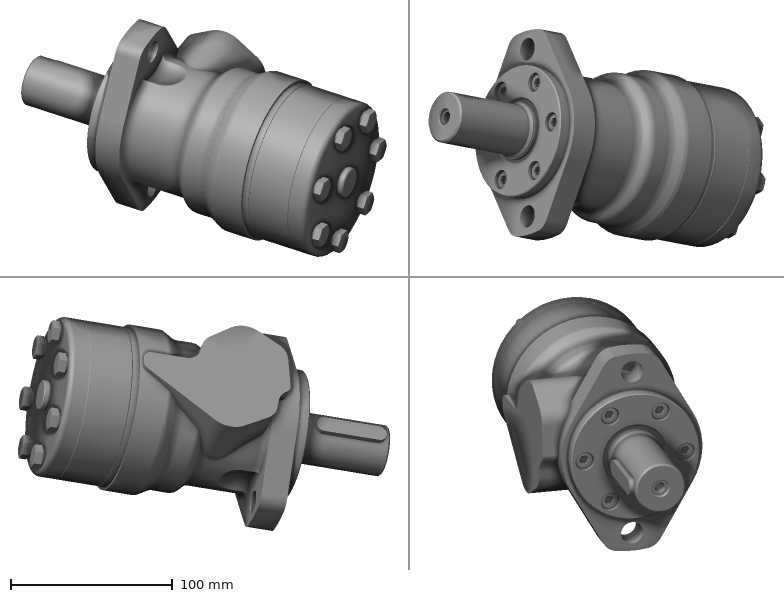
import cadquery as cq
import math


COLLAR_X = 55.8
PILOT_X = 59.4
FLANGE_X = 67.5
FLANGE_BACK_X = 84.1
HOUSING_END_X = 172.8
RING_X = 176.8
COVER_X = 204.5
COVER_END_X = 217.2
MOTOR_END_X = 223.2

SHAFT_D = 32.0
SHAFT_CHAMFER = 1.1
COLLAR_D = 35.7
COLLAR_LIP_D = 35.0
COLLAR_LIP_LENGTH = 2.5
COLLAR_CHAMFER = 1.5
CENTRE_BORE_D = 10.0
CENTRE_BORE_DEPTH = 2.2
CENTRE_BORE_CHAMFER = 0.7
CENTRE_HOLE_D = 7.0
CENTRE_HOLE_DEPTH = 13.5
DRILL_POINT_ANGLE = 118.0
KEY_X = 3.3
KEY_LENGTH = 45.0
KEY_WIDTH = 10.0
KEY_TOP_Y = 19.0
KEY_HEIGHT = 8.0

PILOT_D = 82.5
PILOT_CHAMFER = 0.7
SEAL_RECESS_D = 39.5
SEAL_RECESS_DEPTH = 1.5
SEAL_RECESS_CHAMFER = 1.3
SCREW_COUNT = 6
SCREW_CIRCLE_R = 32.4
SCREW_POCKET_D = 12.0
SCREW_POCKET_DEPTH = 3.3
SCREW_HEAD_D = 10.0
SCREW_HEAD_HEIGHT = 1.1
SOCKET_FLATS = 5.5
SOCKET_DEPTH = 3.3

FLANGE_R = 45.0
FLANGE_TIP_R = 65.0
FLANGE_CORNER_R = 11.2
FLANGE_SIDE_ANGLE = 30.0
MOUNT_HOLE_D = 14.0
MOUNT_HOLE_Z = 53.1
CLEARANCE_R = 18.3
CLEARANCE_LENGTH = 9.4

NECK_R = 40.6
NECK_FILLET = 4.0
BULGE_R = 47.0
HOUSING_R = 52.0
BULGE_RAMP_X = 122.8
BULGE_RAMP_ANGLE = 45.0
BULGE_RAMP_FOOT_R = 7.1
BULGE_RAMP_TOP_R = 5.5
HOUSING_RAMP_X = 144.2
HOUSING_RAMP_ANGLE = 30.0
HOUSING_RAMP_FOOT_R = 8.0
HOUSING_RAMP_TOP_R = 5.4

PORT_FACE_Y = 55.0
PORT_OUTLINE = [
    (78.3, 25.5, 12.0),
    (106.2, 41.5, 17.5),
    (132.4, 23.7, 13.5),
    (136.4, 7.8, 9.5),
    (171.2, 7.8, 5.4),
    (171.2, -2.7, 5.4),
    (115.8, -40.8, 17.9),
    (86.0, -23.7, 11.5),
    (83.0, -7.5, 10.7),
    (76.0, -3.3, 4.7),
]

STACK_D = 100.0
RING_CHAMFER = 0.5
COVER_FILLET = 3.3

BOLT_COUNT = 7
BOLT_CIRCLE_R = 40.0
FIRST_BOLT_ANGLE = 99.7
BOLT_FLATS = 13.0
BOLT_TURN = 49.0
BOLT_HEAD_CHAMFER = 0.5
BOLT_COLLAR_D = 11.8
BOLT_COLLAR_HEIGHT = 1.0
PLUG_NECK_D = 18.0
PLUG_D = 19.0
PLUG_NECK_HEIGHT = 1.1
PLUG_HEIGHT = 4.5
PLUG_CHAMFER = 0.7


def cylinder(x_start, x_end, diameter, y=0.0, z=0.0):
    """Cylinder parallel to X."""
    plane = cq.Workplane("YZ", origin=(x_start, y, z))
    return plane.circle(diameter / 2).extrude(x_end - x_start)


def cone(x_start, length, start_diameter, end_diameter):
    """Cone on the axis, with its diameter at each end."""
    axis_point = cq.Vector(x_start, 0, 0)
    solid = cq.Solid.makeCone(start_diameter / 2, end_diameter / 2, length, axis_point, cq.Vector(1, 0, 0))
    return cq.Workplane(solid)


def hexagon(x_start, x_end, flats, y, z, turn=0.0):
    """Hexagonal prism parallel to X, with a corner at the angle `turn` from Y."""
    corners = flats / math.cos(math.radians(30))
    plane = cq.Workplane("YZ", origin=(x_start, y, z)).transformed(rotate=(0, 0, turn))
    return plane.polygon(6, corners).extrude(x_end - x_start)


def circle_points(count, radius, first_angle=0.0):
    """Evenly spaced (y, z) points on a circle around the axis."""
    angles = [math.radians(first_angle + 360 * i / count) for i in range(count)]
    return [(radius * math.cos(a), radius * math.sin(a)) for a in angles]


def rounded_outline(plane, corners):
    """Closed outline through the corners (u, v, radius), each rounded by its radius; 0 keeps it sharp."""
    outline = None
    for i, (u, v, radius) in enumerate(corners):
        corner = cq.Vector(u, v)
        before = (cq.Vector(*corners[i - 1][:2]) - corner).normalized()
        after = (cq.Vector(*corners[(i + 1) % len(corners)][:2]) - corner).normalized()
        half_angle = before.getAngle(after) / 2
        setback = radius / math.tan(half_angle)
        start = corner + before * setback
        outline = plane.moveTo(start.x, start.y) if outline is None else outline.lineTo(start.x, start.y)
        if radius > 0:
            to_middle = radius / math.sin(half_angle) - radius
            middle = corner + (before + after).normalized() * to_middle
            end = corner + after * setback
            outline = outline.threePointArc((middle.x, middle.y), (end.x, end.y))
    return outline.close()



def make_key():
    key_plane = cq.Workplane("XZ", origin=(KEY_X + KEY_LENGTH / 2, KEY_TOP_Y, 0))
    return key_plane.slot2D(KEY_LENGTH, KEY_WIDTH).extrude(KEY_HEIGHT)


def make_shaft(key):
    journal = cylinder(0, COLLAR_X, SHAFT_D).faces("<X").chamfer(SHAFT_CHAMFER)
    lip_end_x = COLLAR_X + COLLAR_LIP_LENGTH
    lip = cylinder(COLLAR_X, lip_end_x, COLLAR_LIP_D).faces("<X").chamfer(COLLAR_CHAMFER)
    collar = cylinder(lip_end_x, FLANGE_X, COLLAR_D)
    bore = cylinder(0, CENTRE_BORE_DEPTH, CENTRE_BORE_D)
    bore_rim_d = CENTRE_BORE_D + 2 * CENTRE_BORE_CHAMFER
    bore_rim = cone(0, CENTRE_BORE_CHAMFER, bore_rim_d, CENTRE_BORE_D)
    hole = cylinder(0, CENTRE_HOLE_DEPTH, CENTRE_HOLE_D)
    point_length = CENTRE_HOLE_D / 2 / math.tan(math.radians(DRILL_POINT_ANGLE / 2))
    drill_point = cone(CENTRE_HOLE_DEPTH, point_length, CENTRE_HOLE_D, 0)
    return journal.union(lip).union(collar).cut(bore).cut(bore_rim).cut(hole).cut(drill_point).cut(key)



def flange_plate():
    """Round centre whose tangent sides run to two rounded tips on the Z axis."""
    side = math.radians(FLANGE_SIDE_ANGLE)
    centre_reach = FLANGE_TIP_R - FLANGE_CORNER_R
    centre_angle = side + math.acos((FLANGE_R - FLANGE_CORNER_R) / centre_reach)
    centre_y = centre_reach * math.cos(centre_angle)
    centre_z = centre_reach * math.sin(centre_angle)
    middle_angle = (side + centre_angle) / 2

    def on_corner(angle):
        return (
            centre_y + FLANGE_CORNER_R * math.cos(angle),
            centre_z + FLANGE_CORNER_R * math.sin(angle),
        )

    def flip(point, y_sign, z_sign):
        return (y_sign * point[0], z_sign * point[1])

    waist = (FLANGE_R * math.cos(side), FLANGE_R * math.sin(side))
    corner_start = on_corner(side)
    corner_middle = on_corner(middle_angle)
    corner_end = on_corner(centre_angle)
    outline = cq.Workplane("YZ", origin=(FLANGE_X, 0, 0)).moveTo(*waist)
    for s in (1, -1):
        outline = (
            outline.lineTo(*flip(corner_start, s, s))
            .threePointArc(flip(corner_middle, s, s), flip(corner_end, s, s))
            .threePointArc((0, s * FLANGE_TIP_R), flip(corner_end, -s, s))
            .threePointArc(flip(corner_middle, -s, s), flip(corner_start, -s, s))
            .lineTo(*flip(waist, -s, s))
            .threePointArc((-s * FLANGE_R, 0), flip(waist, -s, -s))
        )
    return outline.close().extrude(FLANGE_BACK_X - FLANGE_X)


def turned_body():
    """Neck, bulge and full diameter behind the flange, joined by rounded ramps."""
    bulge_start_x = BULGE_RAMP_X + (BULGE_R - NECK_R) / math.tan(math.radians(BULGE_RAMP_ANGLE))
    full_start_x = HOUSING_RAMP_X + (HOUSING_R - BULGE_R) / math.tan(math.radians(HOUSING_RAMP_ANGLE))
    profile = [
        (FLANGE_X, 0, 0),
        (FLANGE_X, FLANGE_R, 0),
        (FLANGE_BACK_X, FLANGE_R, 0),
        (FLANGE_BACK_X, NECK_R, NECK_FILLET),
        (BULGE_RAMP_X, NECK_R, BULGE_RAMP_FOOT_R),
        (bulge_start_x, BULGE_R, BULGE_RAMP_TOP_R),
        (HOUSING_RAMP_X, BULGE_R, HOUSING_RAMP_FOOT_R),
        (full_start_x, HOUSING_R, HOUSING_RAMP_TOP_R),
        (HOUSING_END_X, HOUSING_R, 0),
        (HOUSING_END_X, 0, 0),
    ]
    return rounded_outline(cq.Workplane("XY"), profile).revolve(360, (0, 0), (1, 0))


def port_block():
    block = rounded_outline(cq.Workplane("XZ"), PORT_OUTLINE)
    return block.extrude(-PORT_FACE_Y)


def mounting_cut(z):
    """Mounting hole with round-ended clearance for the bolt head behind the flange."""
    clearance_end_x = FLANGE_BACK_X + CLEARANCE_LENGTH
    hole = cylinder(FLANGE_X, FLANGE_BACK_X, MOUNT_HOLE_D, z=z)
    clearance = cylinder(FLANGE_BACK_X, clearance_end_x, 2 * CLEARANCE_R, z=z)
    ball = cq.Workplane("XY").sphere(CLEARANCE_R).translate((clearance_end_x, 0, z))
    ball_end = ball.intersect(cylinder(clearance_end_x, clearance_end_x + CLEARANCE_R, 3 * CLEARANCE_R, z=z))
    return hole.union(clearance).union(ball_end)


def sunk_screw_cut(y, z):
    """Ring around a sunk socket screw head, the space above it and its hexagon socket."""
    floor_x = PILOT_X + SCREW_POCKET_DEPTH
    head_x = floor_x - SCREW_HEAD_HEIGHT
    pocket = cylinder(PILOT_X, floor_x, SCREW_POCKET_D, y, z)
    head = cylinder(head_x, floor_x, SCREW_HEAD_D, y, z)
    socket = hexagon(head_x, head_x + SOCKET_DEPTH, SOCKET_FLATS, y, z)
    return pocket.cut(head).union(socket)


def make_housing():
    pilot = cylinder(PILOT_X, FLANGE_X, PILOT_D).faces("<X").chamfer(PILOT_CHAMFER)
    recess = cylinder(PILOT_X, PILOT_X + SEAL_RECESS_DEPTH, SEAL_RECESS_D)
    shaft_bore = cylinder(PILOT_X, FLANGE_X, COLLAR_D)
    recess_rim_d = SEAL_RECESS_D + 2 * SEAL_RECESS_CHAMFER
    recess_rim = cone(PILOT_X, SEAL_RECESS_CHAMFER, recess_rim_d, SEAL_RECESS_D)
    housing = turned_body().union(flange_plate()).union(port_block())
    for z in (-MOUNT_HOLE_Z, MOUNT_HOLE_Z):
        housing = housing.cut(mounting_cut(z))
    housing = housing.union(pilot).cut(recess).cut(recess_rim).cut(shaft_bore)
    for y, z in circle_points(SCREW_COUNT, SCREW_CIRCLE_R):
        housing = housing.cut(sunk_screw_cut(y, z))
    return housing



def make_spacer():
    return cylinder(HOUSING_END_X, RING_X, STACK_D)


def make_gear_ring():
    return cylinder(RING_X, COVER_X, STACK_D).faces("<X or >X").chamfer(RING_CHAMFER)


def rear_bolt(y, z):
    """Hexagon head with chamfered corners on a round collar."""
    head_x = COVER_END_X + BOLT_COLLAR_HEIGHT
    corners = BOLT_FLATS / math.cos(math.radians(30))
    chamfer_depth = corners - BOLT_FLATS
    collar = cylinder(COVER_END_X, head_x, BOLT_COLLAR_D, y, z)
    head = hexagon(head_x, MOTOR_END_X, BOLT_FLATS, y, z, BOLT_TURN)
    envelope = cylinder(head_x, MOTOR_END_X, corners, y, z)
    envelope = envelope.faces("<X or >X").chamfer(BOLT_HEAD_CHAMFER, chamfer_depth)
    return collar.union(head.intersect(envelope))


def rear_plug():
    head_x = COVER_END_X + PLUG_NECK_HEIGHT
    neck = cylinder(COVER_END_X, head_x, PLUG_NECK_D)
    head = cylinder(head_x, COVER_END_X + PLUG_HEIGHT, PLUG_D).faces(">X").chamfer(PLUG_CHAMFER)
    return neck.union(head)


def make_end_cover():
    cover = cylinder(COVER_X, COVER_END_X, STACK_D).faces(">X").edges().fillet(COVER_FILLET)
    for y, z in circle_points(BOLT_COUNT, BOLT_CIRCLE_R, FIRST_BOLT_ANGLE):
        cover = cover.union(rear_bolt(y, z))
    return cover.union(rear_plug())


key = make_key()
shaft = make_shaft(key)
housing = make_housing()
spacer = make_spacer()
gear_ring = make_gear_ring()
end_cover = make_end_cover()

result = cq.Compound.makeCompound(
    [shaft.val(), key.val(), housing.val(), spacer.val(), gear_ring.val(), end_cover.val()]
)